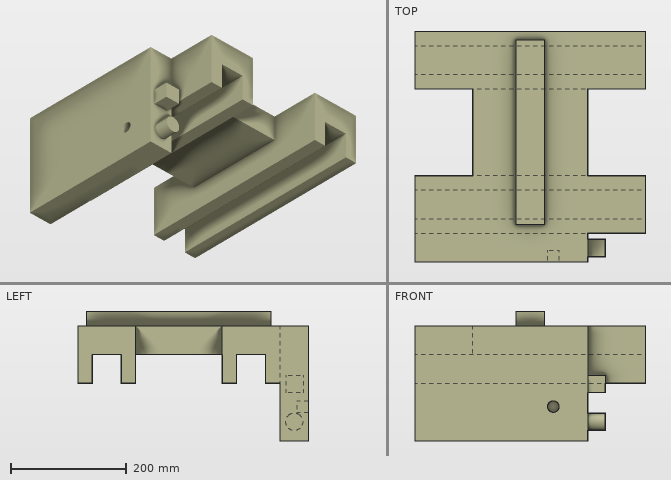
import cadquery as cq

length_x = 400.0
length_y = 400.0
left = -length_x / 2
front = -length_y / 2
back = length_y / 2

wing_width = 100.0
wing_height = 100.0
web_width = 200.0
web_thickness = 50.0

channel_width = 50.0
channel_depth = wing_height - web_thickness

apron_width = 300.0
apron_thickness = 50.0
apron_height = 200.0
apron_right = left + apron_width
apron_bottom = -apron_height

rail_width = 50.0
rail_height = 25.0
rail_back_margin = 15.0
rail_length = 320.0

control_length = 30.0
block_size = 30.0
block_center_y = front + 24.0
block_center_z = apron_bottom + 99.0
knob_diameter = 30.0
knob_center_y = front + apron_thickness / 2
knob_center_z = apron_bottom + 33.7

hole_diameter = 20.0
hole_depth = 20.0
hole_x = left + 240.0
hole_z = apron_bottom + 60.0

front_wing_y = front + apron_thickness
back_wing_y = back - wing_width


def box(x, y, z, size_x, size_y, size_z):
    """Box whose minimum corner is at (x, y, z)."""
    return cq.Workplane("XY").box(size_x, size_y, size_z, centered=False).translate((x, y, z))


def make_wing(wing_y):
    """Full-length wing with a channel open to its underside and both ends."""
    channel_y = wing_y + (wing_width - channel_width) / 2
    wing = box(left, wing_y, -wing_height, length_x, wing_width, wing_height)
    channel = box(left, channel_y, -wing_height, length_x, channel_width, channel_depth)
    return wing.cut(channel)


def make_web():
    """Flat bridge between the two wings."""
    web_y = front_wing_y + wing_width
    return box(-web_width / 2, web_y, -web_thickness, web_width, back_wing_y - web_y, web_thickness)


def make_apron():
    """Vertical front plate with a blind hole in its front face."""
    plate = box(left, front, apron_bottom, apron_width, apron_thickness, apron_height)
    hole = (
        cq.Workplane("XZ", origin=(hole_x, front, hole_z))
        .circle(hole_diameter / 2)
        .extrude(-hole_depth)
    )
    return plate.cut(hole)


def make_rail():
    """Raised rail running along Y on the top face."""
    rail_y = back - rail_back_margin - rail_length
    return box(-rail_width / 2, rail_y, 0, rail_width, rail_length, rail_height)


def make_block():
    """Square block standing out from the right end of the apron."""
    block_y = block_center_y - block_size / 2
    block_z = block_center_z - block_size / 2
    return box(apron_right, block_y, block_z, control_length, block_size, block_size)


def make_knob():
    """Round knob standing out from the right end of the apron."""
    return (
        cq.Workplane("YZ", origin=(apron_right, knob_center_y, knob_center_z))
        .circle(knob_diameter / 2)
        .extrude(control_length)
    )


result = make_apron()
for wing_front_y in (front_wing_y, back_wing_y):
    result = result.union(make_wing(wing_front_y))
for feature in (make_web(), make_rail(), make_block(), make_knob()):
    result = result.union(feature)
result = result.clean()